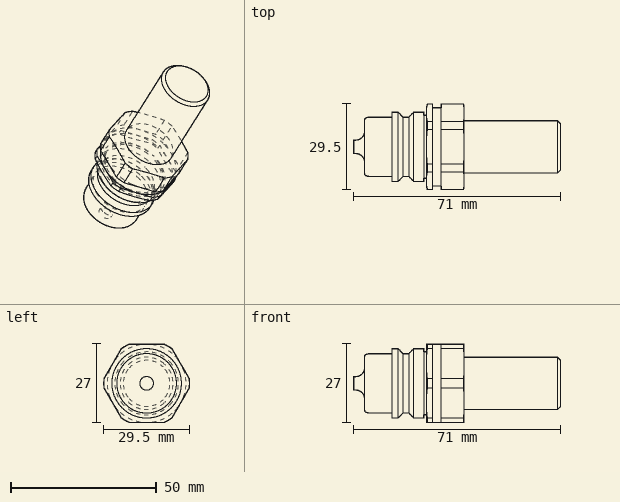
import cadquery as cq
import math

total_length = 71.0
nose_face_x = 3.7
nose_round_end_x = 4.3
nose_taper_end_x = 5.2
collar_start_x = 13.1
collar_end_x = 15.3
groove_floor_start_x = 16.9
groove_floor_end_x = 18.95
flange_start_x = 20.6
flange_end_x = 24.1
hex_start_x = 24.9
hex_groove_start_x = 27.05
hex_groove_end_x = 30.0
hex_end_x = 37.9

tip_radius = 2.35
tip_flare_radius = 3.0
nose_face_radius = 9.15
nose_round_end_radius = 10.0
body_radius = 10.2
collar_radius = 11.9
neck_radius = 10.85
stem_radius = 9.0
stem_chamfer = 1.1

across_flats = 27.0
across_turned_corners = 29.5
corner_radius = across_turned_corners / 2
bevel_radius = across_flats / 2
front_bevel_length = 0.35
rear_bevel_length = 0.2


def revolve_about_x(profile):
    return profile.close().revolve(360, (0, 0, 0), (1, 0, 0))


def make_turned_body():
    """Nose, collar, V groove, flange and stem, turned as one piece."""
    flare_start_x = nose_face_x - tip_flare_radius
    flare_end_radius = tip_radius + tip_flare_radius
    flare_middle = (
        flare_start_x + tip_flare_radius * math.sin(math.pi / 4),
        flare_end_radius - tip_flare_radius * math.cos(math.pi / 4),
    )
    profile = (
        cq.Workplane("XY")
        .lineTo(0, tip_radius)
        .lineTo(flare_start_x, tip_radius)
        .threePointArc(flare_middle, (nose_face_x, flare_end_radius))
        .lineTo(nose_face_x, nose_face_radius)
        .tangentArcPoint((nose_round_end_x, nose_round_end_radius), relative=False)
        .lineTo(nose_taper_end_x, body_radius)
        .lineTo(collar_start_x, body_radius)
        .lineTo(collar_start_x, collar_radius)
        .lineTo(collar_end_x, collar_radius)
        .lineTo(groove_floor_start_x, body_radius)
        .lineTo(groove_floor_end_x, body_radius)
        .lineTo(flange_start_x, collar_radius)
        .lineTo(flange_end_x, collar_radius)
        .lineTo(flange_end_x, neck_radius)
        .lineTo(hex_end_x, neck_radius)
        .lineTo(hex_end_x, stem_radius)
        .lineTo(total_length - stem_chamfer, stem_radius)
        .lineTo(total_length, stem_radius - stem_chamfer)
        .lineTo(total_length, 0)
    )
    return revolve_about_x(profile)


def make_hex():
    """Hexagon with corners along Y, bevelled ends and a round groove."""
    across_corners = across_flats / math.cos(math.pi / 6)
    prism = (
        cq.Workplane("YZ", origin=(hex_start_x, 0, 0))
        .polygon(6, across_corners)
        .extrude(hex_end_x - hex_start_x)
    )
    envelope = (
        cq.Workplane("XY")
        .moveTo(hex_start_x, 0)
        .lineTo(hex_start_x, bevel_radius)
        .lineTo(hex_start_x + front_bevel_length, corner_radius)
        .lineTo(hex_groove_start_x, corner_radius)
        .lineTo(hex_groove_start_x, bevel_radius)
        .lineTo(hex_groove_end_x, bevel_radius)
        .lineTo(hex_groove_end_x, corner_radius)
        .lineTo(hex_end_x - rear_bevel_length, corner_radius)
        .lineTo(hex_end_x, bevel_radius)
        .lineTo(hex_end_x, 0)
    )
    return prism.intersect(revolve_about_x(envelope))


result = make_turned_body().union(make_hex())